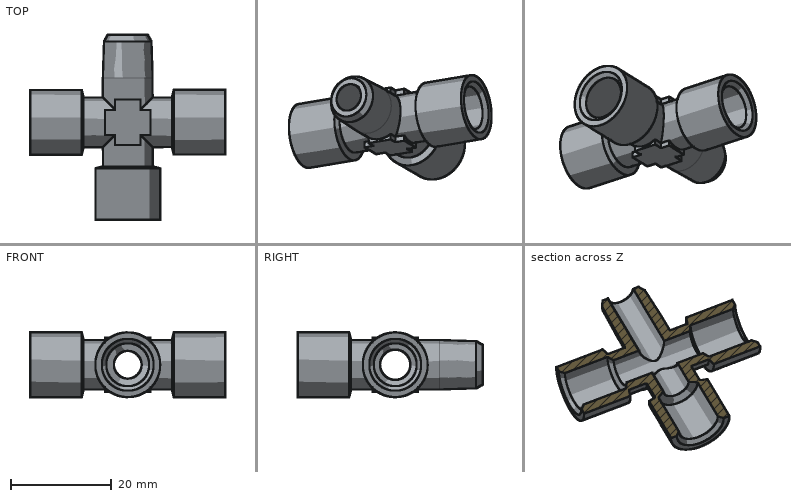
import cadquery as cq
import math


socket_reach = 19.5
socket_radius = 13.0 / 2
socket_length = 10.3
pipe_radius = 5.0
shoulder_angle = 15.0

socket_hole_radius = 4.3
socket_mouth_radius = 5.2
mouth_angle = 45.0
socket_hole_depth = 10.3
drill_tip_angle = 59.0

x_bore_radius = 6.0 / 2
y_bore_radius = 5.5 / 2

male_reach = 17.5
taper_start = 8.85
taper_ratio = 1 / 16
tip_length = 1.35
tip_angle = 30.0

hub_span = 9.0
hub_arm_width = 5.0
hub_height = 10.92


def tangent(degrees):
    return math.tan(math.radians(degrees))


def revolve_along_x(points):
    """Turn a closed (distance, radius) outline around the X axis."""
    return cq.Workplane("XY").polyline(points).close().revolve(360, (0, 0, 0), (1, 0, 0))


def socket_arm(direction):
    """Pipe ending in a wider socket, pointing at an angle in the XY plane."""
    shoulder_end = socket_reach - socket_length
    shoulder_start = shoulder_end - (socket_radius - pipe_radius) * tangent(shoulder_angle)
    arm = revolve_along_x([
        (0, 0),
        (0, pipe_radius),
        (shoulder_start, pipe_radius),
        (shoulder_end, socket_radius),
        (socket_reach, socket_radius),
        (socket_reach, 0),
    ])
    return arm.rotate((0, 0, 0), (0, 0, 1), direction)


def socket_hole(direction):
    """Blind hole with a countersunk mouth and a drill-point bottom."""
    mouth_depth = (socket_mouth_radius - socket_hole_radius) / tangent(mouth_angle)
    floor = socket_reach - socket_hole_depth
    drill_tip = floor - socket_hole_radius / tangent(drill_tip_angle)
    hole = revolve_along_x([
        (drill_tip, 0),
        (floor, socket_hole_radius),
        (socket_reach - mouth_depth, socket_hole_radius),
        (socket_reach, socket_mouth_radius),
        (socket_reach, 0),
    ])
    return hole.rotate((0, 0, 0), (0, 0, 1), direction)


def male_arm(direction):
    """Pipe with a long thread taper and a chamfered tip."""
    tip_start = male_reach - tip_length
    taper_end_radius = pipe_radius - (tip_start - taper_start) * taper_ratio / 2
    tip_radius = taper_end_radius - tip_length * tangent(tip_angle)
    arm = revolve_along_x([
        (0, 0),
        (0, pipe_radius),
        (taper_start, pipe_radius),
        (tip_start, taper_end_radius),
        (male_reach, tip_radius),
        (male_reach, 0),
    ])
    return arm.rotate((0, 0, 0), (0, 0, 1), direction)


def hub_cross():
    """Plus-shaped block standing proud of the pipes above and below."""
    bar_along_x = cq.Workplane("XY").box(hub_span, hub_arm_width, hub_height)
    bar_along_y = cq.Workplane("XY").box(hub_arm_width, hub_span, hub_height)
    return bar_along_x.union(bar_along_y)


socket_directions = (0, 180, 270)
male_direction = 90

result = male_arm(male_direction).union(hub_cross())
for direction in socket_directions:
    result = result.union(socket_arm(direction))
for direction in socket_directions:
    result = result.cut(socket_hole(direction))

x_bore = cq.Workplane("YZ").circle(x_bore_radius).extrude(socket_reach, both=True)
y_bore = cq.Workplane("XZ").circle(y_bore_radius).extrude(socket_reach, both=True)
result = result.cut(x_bore).cut(y_bore)